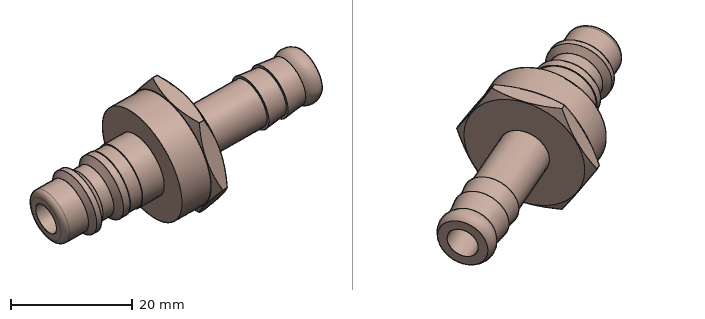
import cadquery as cq
import math

length = 54.0
bore_radius = 2.8

tip_radius = 5.0
tip_fillet = 1.0
plug_radius = 6.0
neck_radius = 4.85
relief_radius = 5.85
collar_start = 4.95
collar_land_start = collar_start + plug_radius - tip_radius
collar_land_end = 6.95
neck_start = collar_land_end + plug_radius - neck_radius
neck_end = 10.35
shoulder_start = neck_end + plug_radius - neck_radius
relief_start = 12.95
relief_end = 15.5

flange_start = 20.0
flange_radius = 10.8
hex_start = 26.0
hex_end = 29.0
hex_across_flats = 22.0
hex_across_corners = hex_across_flats / math.cos(math.radians(30))
hex_face_radius = 10.9
hex_chamfer_angle = 30
envelope_margin = 0.25

tail_radius = 4.55
barb_radius = 5.0
barb_starts = (42.5, 46.5)
bead_start = 50.55
bead_radius = 5.2


def make_plug():
    """Stepped plug with a locking groove and a rounded tip."""
    return (
        cq.Workplane("XY")
        .lineTo(tip_radius, 0)
        .lineTo(tip_radius, collar_start)
        .lineTo(plug_radius, collar_land_start)
        .lineTo(plug_radius, collar_land_end)
        .lineTo(neck_radius, neck_start)
        .lineTo(neck_radius, neck_end)
        .lineTo(plug_radius, shoulder_start)
        .lineTo(plug_radius, relief_start)
        .lineTo(relief_radius, relief_start)
        .lineTo(relief_radius, relief_end)
        .lineTo(plug_radius, relief_end)
        .lineTo(plug_radius, flange_start)
        .lineTo(0, flange_start)
        .close()
        .revolve(360, (0, 0), (0, 1))
        .faces("<Y")
        .edges()
        .fillet(tip_fillet)
    )


def make_flange():
    """Round flange between the plug and the hexagon."""
    return cylinder(flange_radius, flange_start, hex_start)


def cylinder(radius, start, end):
    """Solid cylinder about the Y axis between two stations."""
    return cq.Workplane("XZ", origin=(0, start, 0)).circle(radius).extrude(start - end)


def make_hexagon():
    """Hexagon with a conical chamfer on the corners of both faces."""
    hexagon = (
        cq.Workplane("XZ", origin=(0, hex_start, 0))
        .polygon(6, hex_across_corners)
        .extrude(hex_start - hex_end)
    )
    outer_radius = hex_across_corners / 2 + envelope_margin
    outer_drop = (outer_radius - hex_face_radius) * math.tan(math.radians(hex_chamfer_angle))
    envelope = (
        cq.Workplane("XY")
        .moveTo(0, hex_start)
        .lineTo(hex_face_radius, hex_start)
        .lineTo(outer_radius, hex_start + outer_drop)
        .lineTo(outer_radius, hex_end - outer_drop)
        .lineTo(hex_face_radius, hex_end)
        .lineTo(0, hex_end)
        .close()
        .revolve(360, (0, 0), (0, 1))
    )
    return hexagon.intersect(envelope)


def make_tail():
    """Hose tail with two barbs that taper toward the bead."""
    profile = (
        cq.Workplane("XY")
        .moveTo(0, hex_end)
        .lineTo(tail_radius, hex_end)
        .lineTo(tail_radius, barb_starts[0])
    )
    barb_ends = barb_starts[1:] + (bead_start,)
    for start, end in zip(barb_starts, barb_ends):
        profile = (
            profile.lineTo(barb_radius, start)
            .lineTo(tail_radius, end)
        )
    return (
        profile.threePointArc((bead_radius, (bead_start + length) / 2), (tail_radius, length))
        .lineTo(0, length)
        .close()
        .revolve(360, (0, 0), (0, 1))
    )


body = make_plug().union(make_flange()).union(make_hexagon()).union(make_tail())
bore = cylinder(bore_radius, 0, length)
result = body.cut(bore).translate((0, -length / 2, 0))